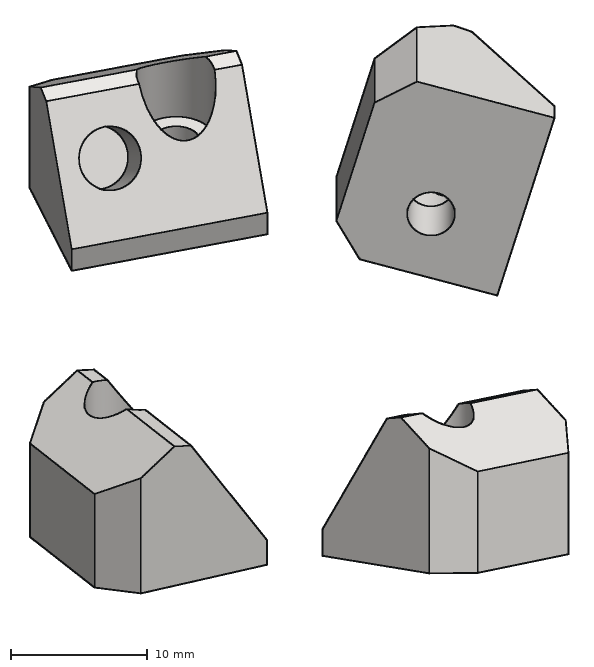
import cadquery as cq
import math

length_x = 13.0
width_y = 15.0
corner_chamfer = 2.5

left_wall_height = 7.56
right_wall_height = 2.0
crest_height = 11.26
left_ramp_angle = 35.0
crest_angle = 10.0
crest_start_x = (crest_height - left_wall_height) / math.tan(math.radians(left_ramp_angle))
crest_length_x = 1.4
crest_end_x = crest_start_x + crest_length_x
crest_end_height = crest_height - crest_length_x * math.tan(math.radians(crest_angle))

screw_x = 6.5
screw_y = 10.0
screw_diameter = 3.5
counterbore_diameter = 5.8
counterbore_floor_z = 5.0

pocket_x = 9.54
pocket_y = 4.0
pocket_diameter = 4.7
pocket_depth = 4.0


def make_block():
    profile = [
        (0, 0),
        (length_x, 0),
        (length_x, right_wall_height),
        (crest_end_x, crest_end_height),
        (crest_start_x, crest_height),
        (0, left_wall_height),
    ]
    block = cq.Workplane("XZ").polyline(profile).close().extrude(-width_y)
    return block.edges("|Z and <X").chamfer(corner_chamfer)


def make_screw_hole():
    shank = cq.Workplane("XY").center(screw_x, screw_y).circle(screw_diameter / 2).extrude(crest_height)
    counterbore = (
        cq.Workplane("XY", origin=(screw_x, screw_y, counterbore_floor_z))
        .circle(counterbore_diameter / 2)
        .extrude(crest_height - counterbore_floor_z)
    )
    return shank.union(counterbore)


def make_ramp_pocket():
    run = length_x - crest_end_x
    drop = crest_end_height - right_wall_height
    pocket_z = right_wall_height + (length_x - pocket_x) * drop / run
    ramp_plane = cq.Plane(origin=(pocket_x, pocket_y, pocket_z), xDir=(0, 1, 0), normal=(drop, 0, run))
    return cq.Workplane(ramp_plane).circle(pocket_diameter / 2).extrude(-pocket_depth)


result = make_block().cut(make_screw_hole()).cut(make_ramp_pocket())